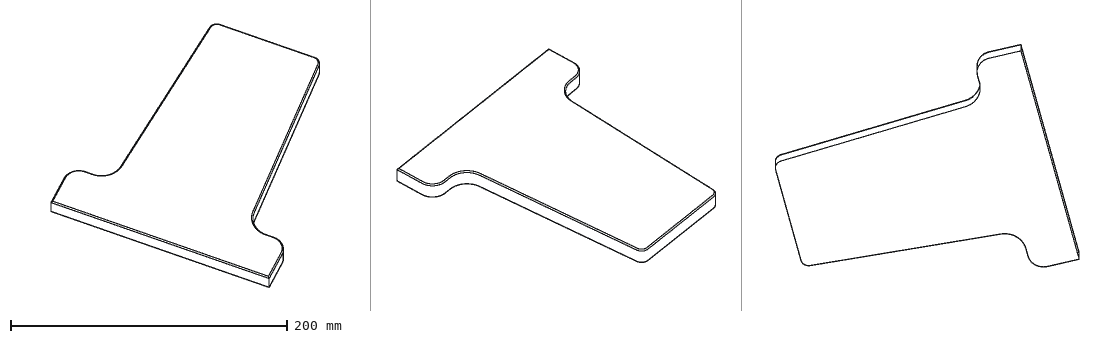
import cadquery as cq

length = 195.5
base_width = 172.0
thickness = 12.0

foot_depth = 35.4
blade_root_width = 107.1
blade_tip_width = 85.6

foot_corner_radius = 11.7
root_fillet_radius = 15.6
tip_corner_radius = 5.9
top_chamfer = 1.0


def half_outline(side):
    """Corner points of one half, from the foot up to the tip (side is +1 or -1)."""
    return [
        (side * base_width / 2, 0),
        (side * base_width / 2, foot_depth),
        (side * blade_root_width / 2, foot_depth),
        (side * blade_tip_width / 2, length),
    ]


def round_corners(body, corner_index, radius):
    """Round the upright edges at the same corner of both halves."""
    for side in (1, -1):
        x, y = half_outline(side)[corner_index]
        corner = cq.selectors.NearestToPointSelector((x, y, thickness / 2))
        body = body.edges("|Z").edges(corner).fillet(radius)
    return body


outline = half_outline(1) + half_outline(-1)[::-1]
plate = cq.Workplane("XY").polyline(outline).close().extrude(thickness)

plate = round_corners(plate, 1, foot_corner_radius)
plate = round_corners(plate, 2, root_fillet_radius)
plate = round_corners(plate, 3, tip_corner_radius)

result = plate.faces(">Z").edges().chamfer(top_chamfer)